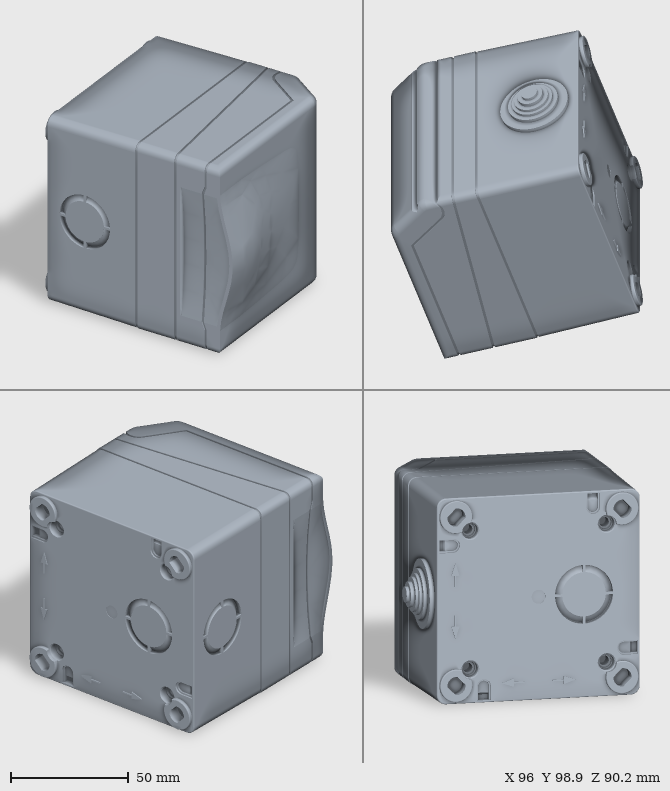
import cadquery as cq
import math


half_size = 45.075
rear_half_size = 44.6
housing_depth = 45.2
housing_corner_radius = 4.0
back_edge_radius = 0.5

lid_front = 87.4
lid_edge_radius = 3.5
door_slope = math.radians(34.7)
door_round_radius = 5.6
hinge_x = 68.0
hinge_y = half_size - door_round_radius
door_gap_x = 80.7
door_gap_jog_end = 34.6
door_gap_jog_x = 79.3
gap_width = 1.15
gap_depth = 0.6
notch_left_x = 61.0
notch_bottom_y = 43.0
step_top_x = 71.5
step_top_y = 43.6
step_floor_start_x = 72.8
step_floor_end_x = 75.0
step_floor_y = 41.1
seam_top_x = 55.6
seam_bottom_x = 64.9
core_half_size = half_size - gap_depth

bulge_half_width = 35.0
bulge_root = 84.0
bulge_base = lid_front - 0.05
bulge_heights = (
    (18.0, -0.05),
    (0.8, 2.1),
    (-14.0, 4.0),
    (-25.6, 6.4),
    (-35.5, 6.97),
    (-half_size, 6.4),
)
scoop_half_width = 31.0
scoop_start = 67.3
scoop_entry_depth = 0.02
scoop_depth = 2.0
scoop_lip_depth = 0.3
scoop_lip_thickness = 1.7
scoop_wall_run = 0.8

gland_x = 19.0
gland_root_y = 43.0
gland_steps = (
    (30.0, 1.65),
    (22.0, 3.3),
    (18.0, 4.55),
    (15.0, 5.8),
    (11.0, 7.4),
    (7.0, 8.71),
)

knockout_outer_diameter = 25.5
knockout_inner_diameter = 19.2
knockout_depth = 2.0
knockout_floor_width = 0.4
knockout_bridge_width = 1.1
bottom_knockout_x = 19.2
back_knockout_y = -20.0

foot_pitch = 73.0
foot_diameter = 14.2
foot_height = 1.63
foot_edge_radius = 0.4
foot_hole_diameter = 7.95
foot_hole_width = 6.0
foot_hole_depth = 4.0
screw_pitch = 60.0
screw_head_diameter = 7.95
screw_bore_diameter = 7.0
screw_hole_diameter = 4.2
screw_rim_depth = 0.5
screw_guide_diameter = 6.0
screw_guide_depth = 3.5
screw_seat_depth = 4.5
screw_hole_depth = 10.0
drain_offset = 24.0
drain_width = 6.1
drain_inner_width = 4.7
drain_outer_reach = 43.6
drain_inner_reach = 34.6
drain_step_depth = 0.8
drain_depth = 1.6
drain_well_length = 2.0
drain_well_depth = 3.0
drain_ramp_run = 1.0
gate_mark_diameter = 6.0
gate_mark_depth = 0.2
arrow_offset = 36.6
arrow_tip = 16.4
arrow_head_base = 11.0
arrow_tail = 6.2
arrow_head_width = 3.5
arrow_stem_width = 0.6
arrow_height = 0.45

overshoot = 5.0


def x_cylinder(diameter, x_from, x_to, y=0.0):
    return (
        cq.Workplane("YZ", origin=(x_from, y, 0))
        .circle(diameter / 2)
        .extrude(x_to - x_from)
    )


def quarter_turns(shape):
    """Four copies of a shape around the X axis."""
    copies = shape
    for turn in range(1, 4):
        copies = copies.union(shape.rotate((0, 0, 0), (1, 0, 0), 90 * turn))
    return copies


def make_housing():
    housing = (
        cq.Workplane("YZ")
        .rect(2 * rear_half_size, 2 * rear_half_size)
        .workplane(offset=housing_depth)
        .rect(2 * half_size, 2 * half_size)
        .loft()
    )
    housing = housing.edges("not(|Y or |Z)").fillet(housing_corner_radius)
    return housing.faces("<X").edges().fillet(back_edge_radius)


def make_lid():
    slope_run = math.tan(door_slope)
    slope_start_x = hinge_x + door_round_radius * math.tan(door_slope / 2)
    shoulder_y = half_size - (lid_front - slope_start_x) * slope_run
    lid = (
        cq.Workplane("XY")
        .moveTo(housing_depth, -half_size)
        .lineTo(lid_front, -half_size)
        .lineTo(lid_front, shoulder_y)
        .lineTo(slope_start_x, half_size)
        .lineTo(housing_depth, half_size)
        .close()
        .extrude(half_size, both=True)
    )
    margin = 1.0
    slope_ends = cq.selectors.BoxSelector(
        (slope_start_x - margin, shoulder_y - margin, -margin),
        (lid_front + margin, half_size + margin, margin),
    )
    lid = lid.edges("|Z").edges(slope_ends).fillet(door_round_radius)
    return lid.faces("|Z").edges("not(<X)").fillet(lid_edge_radius)


def make_hinge_notches():
    """Gap above the hinge round, and the small step in the sloped face."""
    reach = half_size + overshoot
    arc_offset = math.sqrt(door_round_radius**2 - (notch_bottom_y - hinge_y) ** 2)
    notch_bottom_x = hinge_x - arc_offset
    rim_radius = half_size - notch_bottom_y
    diagonal = door_round_radius * math.sqrt(0.5)
    rim_x = notch_left_x + rim_radius * math.sin(math.radians(45))
    rim_y = notch_bottom_y + rim_radius * math.cos(math.radians(45))
    gap = (
        cq.Workplane("XY")
        .moveTo(notch_left_x, half_size)
        .threePointArc((rim_x, rim_y), (notch_left_x + rim_radius, notch_bottom_y))
        .lineTo(notch_bottom_x, notch_bottom_y)
        .threePointArc((hinge_x - diagonal, hinge_y + diagonal), (hinge_x, half_size))
        .lineTo(hinge_x, reach)
        .lineTo(notch_left_x, reach)
        .close()
        .extrude(reach, both=True)
    )
    step = (
        cq.Workplane("XY")
        .moveTo(step_top_x, step_top_y)
        .lineTo(step_floor_start_x, step_floor_y)
        .lineTo(step_floor_end_x, step_floor_y)
        .lineTo(step_floor_end_x, step_top_y)
        .close()
        .extrude(reach, both=True)
    )
    return gap.union(step)


def make_bulge():
    """Bell-shaped swelling of the door, highest near its lower edge."""
    bulge = cq.Workplane("XZ", origin=(0, bulge_heights[0][0], 0))
    previous_y = bulge_heights[0][0]
    intervals = 8
    for y, height in bulge_heights:
        bell = []
        for i in range(intervals + 1):
            z = bulge_half_width * (2 * i / intervals - 1)
            rise = height * (1 + math.cos(math.pi * z / bulge_half_width)) / 2
            bell.append((bulge_base + rise, z))
        bulge = (
            bulge.workplane(offset=previous_y - y)
            .moveTo(bulge_root, -bulge_half_width)
            .lineTo(*bell[0])
            .spline(bell[1:], includeCurrent=True)
            .lineTo(bulge_root, bulge_half_width)
            .close()
        )
        previous_y = y
    return bulge.loft(combine=True)


def scoop_section(x, depth):
    floor_y = -half_size + depth
    return (
        cq.Workplane("YZ", origin=(x, 0, 0))
        .moveTo(-half_size - overshoot, -scoop_half_width)
        .lineTo(-half_size, -scoop_half_width)
        .threePointArc((floor_y, 0), (-half_size, scoop_half_width))
        .lineTo(-half_size - overshoot, scoop_half_width)
        .close()
        .wires()
        .val()
    )


def make_scoop(bulge):
    """Shallow hollow under the door edge, fading out towards the lip."""
    lip_x = lid_front + bulge_heights[-1][1]
    stations = (
        (scoop_start, scoop_entry_depth),
        (scoop_start + scoop_wall_run, scoop_depth),
        (door_gap_jog_x - gap_width / 2, scoop_depth),
        (lip_x, scoop_lip_depth),
    )
    scoop = cq.Workplane("XY")
    for (x_from, depth_from), (x_to, depth_to) in zip(stations, stations[1:]):
        sections = [scoop_section(x_from, depth_from), scoop_section(x_to, depth_to)]
        scoop = scoop.add(cq.Solid.makeLoft(sections, True))
    scoop = scoop.combine()
    limit = (
        cq.Workplane("XY")
        .box(lid_front, 4 * overshoot, 2 * half_size, centered=(False, True, True))
        .translate((0, -half_size, 0))
        .union(bulge)
        .translate((-scoop_lip_thickness, 0, 0))
    )
    return scoop.intersect(limit)


def make_core(scoop):
    """The part's body below the depth of the gaps."""
    core = (
        cq.Workplane("YZ")
        .rect(2 * core_half_size, 2 * core_half_size)
        .extrude(lid_front + overshoot)
        .edges("|X")
        .fillet(lid_edge_radius - gap_depth)
    )
    return core.cut(scoop.translate((0, gap_depth, 0)))


def make_seams():
    """Straight housing seam and slanted lid seam, all the way round."""
    reach = half_size + overshoot
    lean = (seam_top_x - seam_bottom_x) / (2 * half_size)
    middle_x = (seam_top_x + seam_bottom_x) / 2
    slanted = (
        cq.Workplane("XY")
        .moveTo(middle_x - lean * reach - gap_width / 2, -reach)
        .lineTo(middle_x - lean * reach + gap_width / 2, -reach)
        .lineTo(middle_x + lean * reach + gap_width / 2, reach)
        .lineTo(middle_x + lean * reach - gap_width / 2, reach)
        .close()
        .extrude(reach, both=True)
    )
    straight = cq.Workplane("XY").box(gap_width, 2 * reach, 2 * reach)
    return slanted.union(straight.translate((housing_depth, 0, 0)))


def door_plate(margin):
    """Full-width plate with the side outline of the door, grown by a margin."""
    reach = half_size + overshoot
    far_x = lid_front + 4 * overshoot
    radius = door_round_radius + margin
    edge_x = door_gap_x - margin
    tangent_x = hinge_x - radius * math.sin(door_slope)
    tangent_y = hinge_y - radius * math.cos(door_slope)
    corner_y = tangent_y - (edge_x - tangent_x) * math.tan(door_slope)
    return (
        cq.Workplane("XY")
        .moveTo(far_x, -reach)
        .lineTo(edge_x, -reach)
        .lineTo(edge_x, corner_y)
        .lineTo(tangent_x, tangent_y)
        .threePointArc((hinge_x - radius, hinge_y), (hinge_x, hinge_y + radius))
        .lineTo(far_x, hinge_y + radius)
        .close()
        .extrude(reach, both=True)
    )


def make_door_gap():
    """Gap around the door on both side faces and along its lower edge."""
    reach = half_size + overshoot
    middle = cq.Workplane("XY").box(4 * half_size, 4 * half_size, 2 * (half_size - lid_edge_radius))
    side_gaps = door_plate(gap_width).cut(door_plate(0)).cut(middle)

    lower_edge = [
        (door_gap_x, -reach),
        (door_gap_x, -door_gap_jog_end),
        (door_gap_jog_x, -scoop_half_width),
        (door_gap_jog_x, scoop_half_width),
        (door_gap_x, door_gap_jog_end),
        (door_gap_x, reach),
    ]
    shifted_edge = [(x - gap_width, z) for x, z in reversed(lower_edge)]
    lower_gap = (
        cq.Workplane("XZ", origin=(0, -half_size + overshoot, 0))
        .polyline(lower_edge + shifted_edge)
        .close()
        .extrude(2 * overshoot)
    )
    return side_gaps.union(lower_gap)


def make_gland():
    """Stepped rubber cone for cable entry."""
    gland = None
    for diameter, height in gland_steps:
        disc = (
            cq.Workplane("XZ", origin=(gland_x, gland_root_y, 0))
            .circle(diameter / 2)
            .extrude(gland_root_y - half_size - height)
        )
        gland = disc if gland is None else gland.union(disc)
    return gland


def make_knockout():
    """Ring groove around the X axis, entering at X = 0, bridged in four places."""
    inner_radius = knockout_inner_diameter / 2
    outer_radius = knockout_outer_diameter / 2
    ring = (
        cq.Workplane("XY")
        .moveTo(-overshoot, inner_radius)
        .lineTo(0, inner_radius)
        .lineTo(knockout_depth, outer_radius - knockout_floor_width)
        .lineTo(knockout_depth, outer_radius)
        .lineTo(-overshoot, outer_radius)
        .close()
        .revolve(360, (0, 0, 0), (1, 0, 0))
    )
    bridge_span = 2 * knockout_outer_diameter
    for size in ((knockout_bridge_width, bridge_span), (bridge_span, knockout_bridge_width)):
        ring = ring.cut(cq.Workplane("XY").box(4 * overshoot, *size))
    return ring


def make_knockouts():
    back = make_knockout().translate((0, back_knockout_y, 0))
    draft = (half_size - rear_half_size) / housing_depth
    wall_y = -rear_half_size - draft * bottom_knockout_x
    bottom = make_knockout().rotate((0, 0, 0), (0, 0, 1), 90)
    return back.union(bottom.translate((bottom_knockout_x, wall_y, 0)))


def corner_points(pitch):
    return [(y, z) for y in (-pitch / 2, pitch / 2) for z in (-pitch / 2, pitch / 2)]


def make_feet():
    feet = (
        cq.Workplane("YZ", origin=(-foot_height, 0, 0))
        .pushPoints(corner_points(foot_pitch))
        .circle(foot_diameter / 2)
        .extrude(foot_height + back_edge_radius)
    )
    return feet.faces("<X").edges().fillet(foot_edge_radius)


def make_foot_holes():
    """Round holes with two flats that lie across the plate's diagonal."""
    hole = x_cylinder(foot_hole_diameter, -overshoot, foot_hole_depth)
    strip = cq.Workplane("XY").box(4 * foot_hole_depth, foot_hole_width, 2 * foot_hole_diameter)
    hole = hole.intersect(strip.rotate((0, 0, 0), (1, 0, 0), 45))
    return quarter_turns(hole.translate((0, foot_pitch / 2, foot_pitch / 2)))


def make_screw_holes():
    head_radius = screw_head_diameter / 2
    bore_radius = screw_bore_diameter / 2
    guide_radius = screw_guide_diameter / 2
    hole_radius = screw_hole_diameter / 2
    hole = (
        cq.Workplane("XY")
        .moveTo(-overshoot, 0)
        .lineTo(-overshoot, head_radius)
        .lineTo(0, head_radius)
        .lineTo(screw_rim_depth, bore_radius)
        .lineTo(screw_guide_depth, bore_radius)
        .lineTo(screw_guide_depth, guide_radius)
        .lineTo(screw_seat_depth, guide_radius)
        .lineTo(screw_seat_depth, hole_radius)
        .lineTo(screw_hole_depth, hole_radius)
        .lineTo(screw_hole_depth, 0)
        .close()
        .revolve(360, (0, 0, 0), (1, 0, 0))
    )
    return quarter_turns(hole.translate((0, screw_pitch / 2, screw_pitch / 2)))


def drain_outline(width, depth):
    """Pocket open towards the edge with a round inner end, cut to a depth."""
    round_y = drain_inner_reach + drain_width / 2
    pocket = cq.Workplane("XY").box(depth, drain_outer_reach - round_y, width, centered=(False, False, True))
    pocket = pocket.translate((0, round_y, 0))
    return pocket.union(x_cylinder(width, 0, depth, round_y))


def make_drains():
    pocket = drain_outline(drain_width, drain_step_depth)
    pocket = pocket.union(drain_outline(drain_inner_width, drain_depth))
    well_end = drain_outer_reach - drain_well_length
    well = (
        cq.Workplane("XY")
        .moveTo(0, drain_outer_reach)
        .lineTo(drain_well_depth, drain_outer_reach)
        .lineTo(drain_well_depth, well_end)
        .lineTo(drain_depth, well_end - drain_ramp_run)
        .lineTo(0, well_end - drain_ramp_run)
        .close()
        .extrude(drain_inner_width / 2, both=True)
    )
    return quarter_turns(pocket.union(well).translate((0, 0, drain_offset)))


def make_arrows():
    """Raised arrows that mark the spacing of the feet in Y and Z."""
    arrow = (
        cq.Workplane("YZ", origin=(-arrow_height, 0, 0))
        .moveTo(arrow_tail, -arrow_stem_width / 2)
        .lineTo(arrow_head_base, -arrow_stem_width / 2)
        .lineTo(arrow_head_base, -arrow_head_width / 2)
        .lineTo(arrow_tip, 0)
        .lineTo(arrow_head_base, arrow_head_width / 2)
        .lineTo(arrow_head_base, arrow_stem_width / 2)
        .lineTo(arrow_tail, arrow_stem_width / 2)
        .close()
        .extrude(arrow_height + back_edge_radius)
    )
    pair = arrow.union(arrow.mirror("XZ")).translate((0, 0, -arrow_offset))
    return pair.union(pair.rotate((0, 0, 0), (1, 0, 0), 90))


bulge = make_bulge()
scoop = make_scoop(bulge)
core = make_core(scoop)

result = make_housing().union(make_lid().cut(make_hinge_notches()))
result = result.union(bulge).cut(scoop)
result = result.cut(make_seams().cut(core)).cut(make_door_gap().cut(core))
result = result.union(make_gland()).union(make_feet()).union(make_arrows())
result = result.cut(make_knockouts()).cut(make_foot_holes()).cut(make_screw_holes())
result = result.cut(make_drains())
result = result.cut(x_cylinder(gate_mark_diameter, 0, gate_mark_depth))